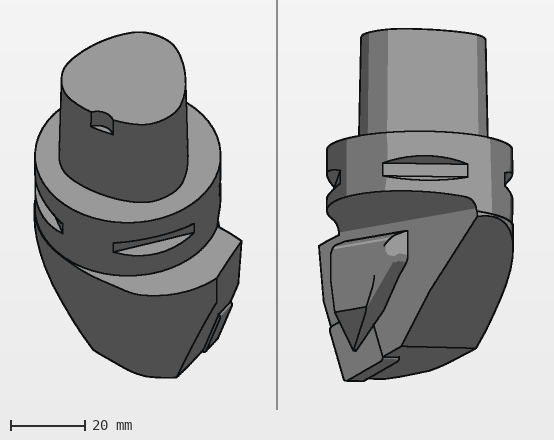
import cadquery as cq
import math

shank_height = 30.0
shank_base_radius = 17.55
shank_top_radius = 16.9
lobe_height = 1.2
lobe_flattening = 0.2
lobe_half_angle = 38
lobe_angles = (90, 210, 330)
lobe_spacing = 120
spline_steps = 8
notch_radius = 4.4
notch_depth = 5.6
notch_bottom_y = -13.95

flange_radius = 25.0
flange_height = 20.9
slot_floor_distance = 22.2
slot_floor_width = 3.5
slot_center_z = -10.1
slot_flank_angle = 30
slot_directions = (45, 135, 225, 315)

head_radius = 25.2
head_bottom_z = -67.5
cone_angle = 15
cone_outer_radius = 40.5
head_right_x = 32.0
blend_start_x = -7.8
blend_line_end_x = -4.95
back_flat_start_x = 6.2
back_flat_end_x = 12.4
back_y = -26.6
corner_arc_end = (17.6, -25.6)
right_arc_end_y = -10.4
front_face_y = 4.9
clearance_rim_z = -16.0
clearance_slope = 4.6
clearance_fillet = 3.6
clearance_margin = 0.9

underside_point = (-head_radius, -1.35, -21.5)
underside_normal = (-1, -0.06, -0.93)
relief_point = (17.6, -25.6, -54.3)
relief_normal = (-0.05, -0.25, -1)

insert_size = 15.8
insert_thickness = 6.4
insert_nose_radius = 1.2
insert_overhang = 0.8
insert_corner = (26.8, 0, -60.3)
rake_normal = (0.066, 1, -0.13)
lead_angle = 15

clamp_right_x = 21.6
clamp_left_x = 0.0
clamp_left_bottom_z = -31.1
clamp_shoulder_x = 9.9
clamp_shoulder = (10.0, -43.3)
clamp_foot = (2.3, -52.65)
clamp_front_y = 11.7
clamp_top_edge = (5.5, -23.0)
clamp_top_curve_start = (9.8, -24.8)
clamp_top_curve_middle = (11.2, -26.4)
clamp_front_top_z = -28.35
clamp_front_bottom_z = -34.5
clamp_fillet = 3.15
clamp_corner_radius = 4.05

cut_size = 180


def lobe_point(radius, degrees):
    """Point of the three-lobed outline whose outward normal has this angle."""
    angle = math.radians(degrees)
    phase = 3 * (angle - math.pi / 2)
    reach = radius + lobe_height * math.cos(phase) - lobe_flattening * math.cos(2 * phase)
    slope = -3 * lobe_height * math.sin(phase) + 6 * lobe_flattening * math.sin(2 * phase)
    x = reach * math.cos(angle) - slope * math.sin(angle)
    y = reach * math.sin(angle) + slope * math.cos(angle)
    return x, y


def lobe_edge(radius, z, start, end):
    """Smooth stretch of the three-lobed outline between two normal angles."""
    step = (end - start) / spline_steps
    angles = [start + step * i for i in range(spline_steps + 1)]
    points = [cq.Vector(*lobe_point(radius, a), z) for a in angles]
    ends = [math.radians(a) for a in (start, end)]
    tangents = [cq.Vector(-math.sin(a), math.cos(a), 0) for a in ends]
    return cq.Edge.makeSpline(points, tangents=tangents)


def lobe_wire(radius, z):
    """Closed outline of three lobes and three flanks."""
    edges = []
    for middle in lobe_angles:
        lobe_end = middle + lobe_half_angle
        edges.append(lobe_edge(radius, z, middle - lobe_half_angle, lobe_end))
        edges.append(lobe_edge(radius, z, lobe_end, middle + lobe_spacing - lobe_half_angle))
    return cq.Wire.assembleEdges(edges)


def make_shank():
    """Tapered three-lobed shank with a round notch at its top."""
    wires = [lobe_wire(shank_base_radius, 0), lobe_wire(shank_top_radius, shank_height)]
    shank = cq.Workplane(cq.Solid.makeLoft(wires, True))
    notch = (
        cq.Workplane("XY", origin=(0, notch_bottom_y - notch_radius, shank_height))
        .circle(notch_radius)
        .extrude(-notch_depth)
    )
    return shank.cut(notch)


def make_flange():
    """Round flange with its gripper slots."""
    flange = cq.Workplane("XY").circle(flange_radius).extrude(-flange_height)
    slot_depth = flange_radius - slot_floor_distance
    flank_rise = slot_depth * math.tan(math.radians(slot_flank_angle))
    floor_half = slot_floor_width / 2
    mouth_half = floor_half + flank_rise
    slot = (
        cq.Workplane("XZ", origin=(0, 0, slot_center_z))
        .moveTo(slot_floor_distance, -floor_half)
        .lineTo(flange_radius, -mouth_half)
        .lineTo(flange_radius, mouth_half)
        .lineTo(slot_floor_distance, floor_half)
        .close()
        .extrude(flange_radius, both=True)
    )
    for direction in slot_directions:
        flange = flange.cut(slot.rotate((0, 0, 0), (0, 0, 1), direction))
    return flange


def make_insert_plane():
    """Frame on the rake face: x along the lower edge to the corner, y downward, z out of the face."""
    normal = cq.Vector(*rake_normal).normalized()
    lead = math.radians(lead_angle)
    edge = cq.Vector(math.cos(lead), 0, -math.sin(lead))
    edge = edge - normal * edge.dot(normal)
    return cq.Plane(origin=insert_corner, xDir=edge.toTuple(), normal=normal.toTuple())


def beyond(plane):
    """Large block that fills the space on the normal side of a plane."""
    return cq.Workplane(plane).rect(cut_size, cut_size).extrude(cut_size)


def make_head(insert_plane):
    """Offset head that carries the insert, trimmed by its flat faces."""
    blend_start = (blend_start_x, -math.sqrt(head_radius**2 - blend_start_x**2))
    blend_slope = -blend_start[0] / blend_start[1]
    blend_end_y = blend_start[1] + blend_slope * (blend_line_end_x - blend_start_x)
    head = (
        cq.Workplane("XY", origin=(0, 0, -flange_height))
        .moveTo(0, head_radius)
        .threePointArc((-head_radius, 0), blend_start)
        .lineTo(blend_line_end_x, blend_end_y)
        .tangentArcPoint((back_flat_start_x, back_y), relative=False)
        .lineTo(back_flat_end_x, back_y)
        .tangentArcPoint(corner_arc_end, relative=False)
        .tangentArcPoint((head_right_x, right_arc_end_y), relative=False)
        .lineTo(head_right_x, head_radius)
        .close()
        .extrude(head_bottom_z + flange_height)
    )

    cone_drop = (cone_outer_radius - head_radius) * math.tan(math.radians(cone_angle))
    cone = (
        cq.Workplane("XZ")
        .moveTo(0, -flange_height)
        .lineTo(head_radius, -flange_height)
        .lineTo(cone_outer_radius, -flange_height - cone_drop)
        .lineTo(cone_outer_radius, head_bottom_z)
        .lineTo(0, head_bottom_z)
        .close()
        .revolve()
    )
    head = head.intersect(cone)

    head = head.cut(beyond(cq.Plane(origin=underside_point, normal=underside_normal)))
    head = head.cut(beyond(cq.Plane(origin=relief_point, normal=relief_normal)))
    head = head.cut(beyond(insert_plane))
    flank_point = insert_plane.toWorldCoords((-insert_overhang, -insert_overhang))
    for flank_normal in (insert_plane.xDir, insert_plane.yDir):
        head = head.cut(beyond(cq.Plane(origin=flank_point, normal=flank_normal)))
    return head


def make_clearance():
    """Space in front of the head, below the sloped underside of the flange."""
    slope = math.tan(math.radians(clearance_slope))
    outer_y = flange_radius + clearance_margin
    outer_z = clearance_rim_z + clearance_margin * slope
    corner_z = clearance_rim_z - (flange_radius - front_face_y) * slope
    space = (
        cq.Workplane("YZ")
        .moveTo(front_face_y, corner_z)
        .lineTo(outer_y, outer_z)
        .lineTo(outer_y, head_bottom_z)
        .lineTo(front_face_y, head_bottom_z)
        .close()
        .extrude(cut_size / 2, both=True)
    )
    inner_edge = cq.selectors.NearestToPointSelector((0, front_face_y, corner_z))
    return space.edges(inner_edge).fillet(clearance_fillet)


def make_clamp():
    """Clamp as the overlap of its side shape and its front shape."""
    side = (
        cq.Workplane("YZ")
        .moveTo(0, clamp_top_edge[1])
        .lineTo(*clamp_top_edge)
        .lineTo(*clamp_top_curve_start)
        .threePointArc(clamp_top_curve_middle, (clamp_front_y, clamp_front_top_z))
        .lineTo(clamp_front_y, clamp_front_bottom_z)
        .lineTo(*clamp_shoulder)
        .lineTo(*clamp_foot)
        .lineTo(0, clamp_foot[1])
        .close()
        .extrude(clamp_right_x)
    )
    front = (
        cq.Workplane("XZ")
        .moveTo(clamp_left_x, clamp_top_edge[1])
        .lineTo(clamp_left_x, clamp_left_bottom_z)
        .lineTo(clamp_shoulder_x, clamp_shoulder[1])
        .lineTo(clamp_right_x, clamp_foot[1])
        .lineTo(clamp_right_x, clamp_top_edge[1])
        .close()
        .extrude(-clamp_front_y)
    )
    corner = cq.selectors.NearestToPointSelector((clamp_left_x, clamp_front_y / 2, clamp_left_bottom_z))
    front = front.edges(corner).fillet(clamp_corner_radius)
    front = front.faces(">Y").edges("not(#Z or >X)").fillet(clamp_fillet)
    return side.intersect(front)


def make_insert(insert_plane):
    """Square cutting insert with rounded corners, lying below the rake face."""
    middle = -insert_size / 2
    return (
        cq.Workplane(insert_plane)
        .center(middle, middle)
        .rect(insert_size, insert_size)
        .extrude(-insert_thickness)
        .edges(cq.selectors.ParallelDirSelector(insert_plane.zDir))
        .fillet(insert_nose_radius)
    )


insert_plane = make_insert_plane()
insert = make_insert(insert_plane)

holder = make_flange().union(make_head(insert_plane)).cut(make_clearance())
holder = holder.union(make_shank()).union(make_clamp())
holder = holder.cut(insert)

result = cq.Compound.makeCompound([holder.solids().val(), insert.val()])